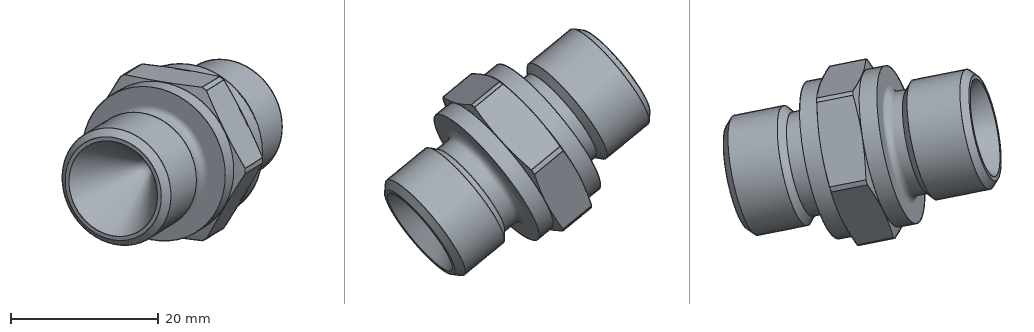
import cadquery as cq
import math

total_length = 35.0
half_length = total_length / 2

across_flats = 22.0
corner_diameter = 25.0
hex_width = 6.0
hex_chamfer_angle = 15.0

collar_diameter = 21.9
collar_span = 11.02

thread_diameter = 16.65
thread_chamfer = 0.98
relief_diameter = 14.5
back_relief_width = 3.0
front_relief_width = 2.5
relief_fillet = 1.0

seat_diameter = 13.55
seat_angle = 60.0


def end_body(relief_width):
    """Half of the turned body, from the middle plane out to the +Y end."""
    collar_radius = collar_diameter / 2
    thread_radius = thread_diameter / 2
    relief_radius = relief_diameter / 2
    collar_face = collar_span / 2
    thread_start = collar_face + relief_width
    return (
        cq.Workplane("XY")
        .lineTo(collar_radius, 0)
        .lineTo(collar_radius, collar_face)
        .lineTo(relief_radius + relief_fillet, collar_face)
        .radiusArc((relief_radius, collar_face + relief_fillet), relief_fillet)
        .lineTo(relief_radius, thread_start)
        .lineTo(thread_radius, thread_start + thread_chamfer)
        .lineTo(thread_radius, half_length - thread_chamfer)
        .lineTo(thread_radius - thread_chamfer, half_length)
        .lineTo(0, half_length)
        .close()
        .revolve(360, (0, 0, 0), (0, 1, 0))
    )


def hexagon():
    """Hexagon with flats facing +Z and -Z, its corners turned down and chamfered."""
    full_corner_diameter = across_flats / math.cos(math.radians(30))
    prism = (
        cq.Workplane("XZ")
        .polygon(6, full_corner_diameter)
        .extrude(hex_width / 2, both=True)
    )
    face_radius = collar_diameter / 2
    corner_radius = corner_diameter / 2
    chamfer_depth = (corner_radius - face_radius) * math.tan(math.radians(hex_chamfer_angle))
    face = hex_width / 2
    shoulder = face - chamfer_depth
    envelope = (
        cq.Workplane("XY")
        .polyline([
            (0, -face),
            (face_radius, -face),
            (corner_radius, -shoulder),
            (corner_radius, shoulder),
            (face_radius, face),
            (0, face),
        ])
        .close()
        .revolve(360, (0, 0, 0), (0, 1, 0))
    )
    return prism.intersect(envelope)


def end_seat():
    """Conical recess narrowing to a point, opening at the +Y end."""
    seat_radius = seat_diameter / 2
    seat_depth = seat_radius / math.tan(math.radians(seat_angle / 2))
    return (
        cq.Workplane("XY")
        .polyline([(0, half_length), (seat_radius, half_length), (0, half_length - seat_depth)])
        .close()
        .revolve(360, (0, 0, 0), (0, 1, 0))
    )


back_body = end_body(back_relief_width)
front_body = end_body(front_relief_width).mirror("XZ")
seat = end_seat()
result = hexagon().union(back_body).union(front_body)
result = result.cut(seat).cut(seat.mirror("XZ"))